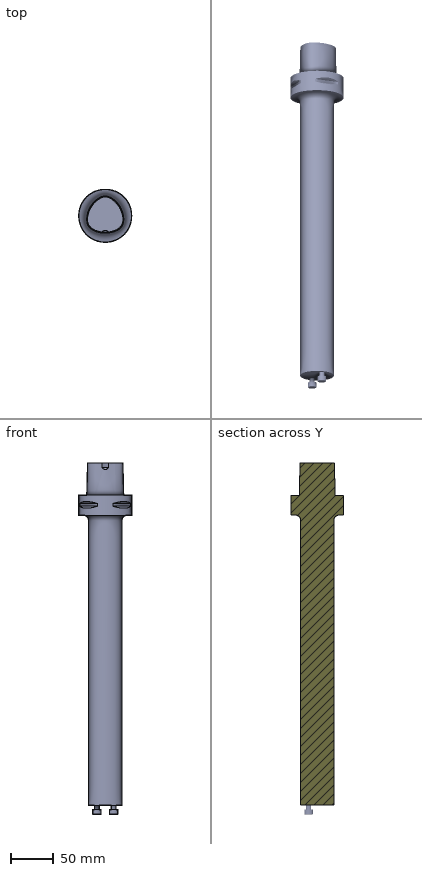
import cadquery as cq
import math


shank_height = 38.0
shank_width = 44.0
lobe_offset = 1.4
taper_ratio = 1 / 20
flat_half_parameter = 24.0
points_per_side = 9

notch_diameter = 9.0
notch_depth = 2.2
notch_wall_height = 5.5

flange_diameter = 63.0
flange_height = 24.0
groove_depth = 3.8
groove_floor_height = 3.0
groove_wall_angle = 33.0
groove_z = -11.65
groove_count = 4

bar_diameter = 40.0
bar_end_z = -368.0
bar_fillet = 6.0

neck_diameter = 6.0
neck_length = 5.0
head_diameter = 10.0
head_length = 6.0
head_chamfer = 0.5
pin_offset = 9.9

flange_radius = flange_diameter / 2
top_width = shank_width - taper_ratio * shank_height


def polygon_point(width, degrees):
    """Point on the three-lobed constant-width curve, with one lobe toward +Y."""
    angle = math.radians(degrees)
    across = (
        width / 2 * math.sin(angle)
        + 2 * lobe_offset * math.sin(2 * angle)
        + lobe_offset * math.sin(4 * angle)
    )
    along = (
        width / 2 * math.cos(angle)
        - 2 * lobe_offset * math.cos(2 * angle)
        + lobe_offset * math.cos(4 * angle)
    )
    return cq.Vector(across, -along, 0)


def polygon_side(width, start, end):
    """Smooth edge along the polygon curve between two parameter angles."""
    step = (end - start) / (points_per_side - 1)
    points = [polygon_point(width, start + i * step) for i in range(points_per_side)]
    return cq.Edge.makeSpline(points)


def polygon_wire(width, z):
    """Closed outline of three shallow sides alternating with three lobes."""
    edges = []
    for middle in (0, 120, 240):
        flat_start = middle - flat_half_parameter
        flat_end = middle + flat_half_parameter
        lobe_end = flat_start + 120
        edges.append(polygon_side(width, flat_start, flat_end))
        edges.append(polygon_side(width, flat_end, lobe_end))
    return cq.Wire.assembleEdges(edges).translate(cq.Vector(0, 0, z))


def make_shank():
    """Polygon shank narrowing evenly on all sides toward its top."""
    base = polygon_wire(shank_width, 0)
    top = polygon_wire(top_width, shank_height)
    return cq.Workplane(obj=cq.Solid.makeLoft([base, top], True))


def make_notch():
    """Upright cutter with a 90 degree conical tip, its axis just outside the shank."""
    radius = notch_diameter / 2
    face_y = polygon_point(top_width, 0).y
    axis_y = face_y + notch_depth - radius
    return (
        cq.Workplane("XZ", origin=(0, axis_y, shank_height))
        .lineTo(radius, 0)
        .lineTo(radius, -notch_wall_height)
        .lineTo(0, -notch_wall_height - radius)
        .close()
        .revolve(360, (0, 0, 0), (0, 1, 0))
    )


def make_flange_and_bar():
    """Flange and bar in one turned profile, joined by a concave fillet."""
    bar_radius = bar_diameter / 2
    fillet_end_z = -flange_height - bar_fillet
    arc_reach = bar_fillet * (1 - math.sqrt(0.5))
    return (
        cq.Workplane("XZ")
        .lineTo(flange_radius, 0)
        .lineTo(flange_radius, -flange_height)
        .lineTo(bar_radius + bar_fillet, -flange_height)
        .threePointArc(
            (bar_radius + arc_reach, -flange_height - arc_reach),
            (bar_radius, fillet_end_z),
        )
        .lineTo(bar_radius, bar_end_z)
        .lineTo(0, bar_end_z)
        .close()
        .revolve(360, (0, 0, 0), (0, 1, 0))
    )


def make_groove():
    """Straight V groove with a flat floor, lying across the +X side of the flange."""
    floor_x = flange_radius - groove_depth
    floor_half = groove_floor_height / 2
    mouth_half = floor_half + groove_depth * math.tan(math.radians(groove_wall_angle))
    return (
        cq.Workplane("XZ", origin=(0, 0, groove_z))
        .moveTo(floor_x, -floor_half)
        .lineTo(flange_radius, -mouth_half)
        .lineTo(flange_radius, mouth_half)
        .lineTo(floor_x, floor_half)
        .close()
        .extrude(flange_radius, both=True)
    )


def make_pin(x, y):
    """Pin hanging from the bar end: a slim neck and a wider head, chamfered below."""
    neck = (
        cq.Workplane("XY", origin=(x, y, bar_end_z))
        .circle(neck_diameter / 2)
        .extrude(-neck_length)
    )
    head = (
        cq.Workplane("XY", origin=(x, y, bar_end_z - neck_length))
        .circle(head_diameter / 2)
        .extrude(-head_length)
        .faces("<Z")
        .chamfer(head_chamfer)
    )
    return neck.union(head)


result = make_flange_and_bar().union(make_shank().cut(make_notch()))

for index in range(groove_count):
    groove_angle = (index + 0.5) * 360 / groove_count
    result = result.cut(make_groove().rotate((0, 0, 0), (0, 0, 1), groove_angle))

for side in (-1, 1):
    result = result.union(make_pin(side * pin_offset, -side * pin_offset))